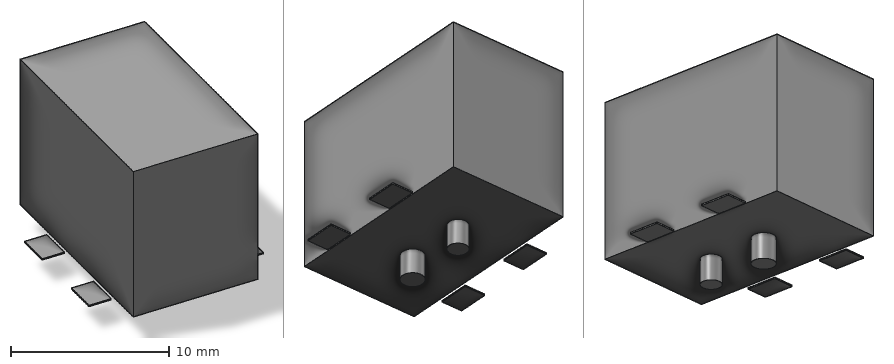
import cadquery as cq

housing_length = 14.8
housing_width = 9.0
housing_height = 11.0

pin_length = 1.8
small_pin_diameter = 1.4
large_pin_diameter = 1.6
large_pin_x = 2.1

pad_length = 2.3
pad_width = 1.6
pad_thickness = 0.1
pad_span = 12.6
left_pad_x = -2.41
right_pad_x = 3.71

small_pin_x = left_pad_x
pad_row_y = (pad_span - pad_width) / 2


def make_housing():
    """Plain rectangular block centred on the Z axis."""
    return cq.Workplane("XY").box(
        housing_length, housing_width, housing_height, centered=(True, True, False)
    )


def make_pin(x, diameter):
    """Round pin hanging from the underside of the housing."""
    return cq.Workplane("XY").center(x, 0).circle(diameter / 2).extrude(-pin_length)


def make_pad(x, y):
    """Thin rectangular pad centred at (x, y)."""
    return cq.Workplane("XY").center(x, y).rect(pad_length, pad_width).extrude(-pad_thickness)


housing = make_housing()
small_pin = make_pin(small_pin_x, small_pin_diameter)
large_pin = make_pin(large_pin_x, large_pin_diameter)

pads = []
for pad_x in (left_pad_x, right_pad_x):
    for pad_y in (-pad_row_y, pad_row_y):
        pads.append(make_pad(pad_x, pad_y).val())

result = cq.Compound.makeCompound([housing.val(), small_pin.val(), large_pin.val(), *pads])